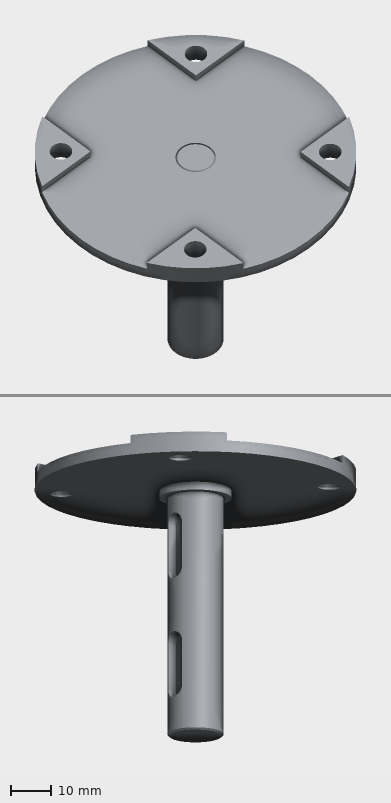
import cadquery as cq

plate_diameter = 80.0
plate_thickness = 3.0
pad_height = 2.1
pad_inner_edge = 18.5
screw_hole_diameter = 5.6
screw_hole_offset = 23.7

total_height = 68.0
spigot_diameter = 10.0
collar_diameter = 18.0
collar_thickness = 2.0
shaft_diameter = 14.0
end_chamfer = 0.5

keyway_width = 5.4
keyway_length = 16.8
keyway_depth = 3.0
first_keyway_drop = 15.2
keyway_pitch = 30.4

shaft_bottom = plate_thickness + pad_height - total_height


def make_pad(x_side, y_side):
    """Corner of the disc outside both straight pad sides, standing on the plate."""
    corner_size = plate_diameter / 2
    disc = cq.Workplane("XY").workplane(offset=plate_thickness).circle(plate_diameter / 2).extrude(pad_height)
    corner_centre = pad_inner_edge + corner_size / 2
    corner = (
        cq.Workplane("XY")
        .workplane(offset=plate_thickness)
        .center(x_side * corner_centre, y_side * corner_centre)
        .rect(corner_size, corner_size)
        .extrude(pad_height)
    )
    return disc.intersect(corner)


def make_plate():
    body = cq.Workplane("XY").circle(plate_diameter / 2).extrude(plate_thickness)
    for x_side in (-1, 1):
        for y_side in (-1, 1):
            body = body.union(make_pad(x_side, y_side))
    screw_holes = (
        cq.Workplane("XY")
        .rect(2 * screw_hole_offset, 2 * screw_hole_offset, forConstruction=True)
        .vertices()
        .circle(screw_hole_diameter / 2)
        .extrude(plate_thickness + pad_height)
    )
    spigot_hole = cq.Workplane("XY").circle(spigot_diameter / 2).extrude(plate_thickness)
    return body.cut(screw_holes).cut(spigot_hole)


def make_keyway(middle_z):
    """Round-ended slot along Z, cut into the +Y side to the keyway depth."""
    keyway_floor = shaft_diameter / 2 - keyway_depth
    return (
        cq.Workplane("XZ", origin=(0, keyway_floor, middle_z))
        .slot2D(keyway_length, keyway_width, 90)
        .extrude(-shaft_diameter / 2)
    )


def make_shaft():
    spigot = (
        cq.Workplane("XY")
        .circle(spigot_diameter / 2)
        .extrude(plate_thickness)
        .faces(">Z")
        .chamfer(end_chamfer)
    )
    collar = cq.Workplane("XY").circle(collar_diameter / 2).extrude(-collar_thickness)
    pin = (
        cq.Workplane("XY")
        .workplane(offset=shaft_bottom)
        .circle(shaft_diameter / 2)
        .extrude(-collar_thickness - shaft_bottom)
        .faces("<Z")
        .chamfer(end_chamfer)
    )
    body = pin.union(collar).union(spigot)
    for index in range(2):
        body = body.cut(make_keyway(-first_keyway_drop - index * keyway_pitch))
    return body


plate = make_plate()
shaft = make_shaft()

result = cq.Compound.makeCompound([plate.val(), shaft.val()])